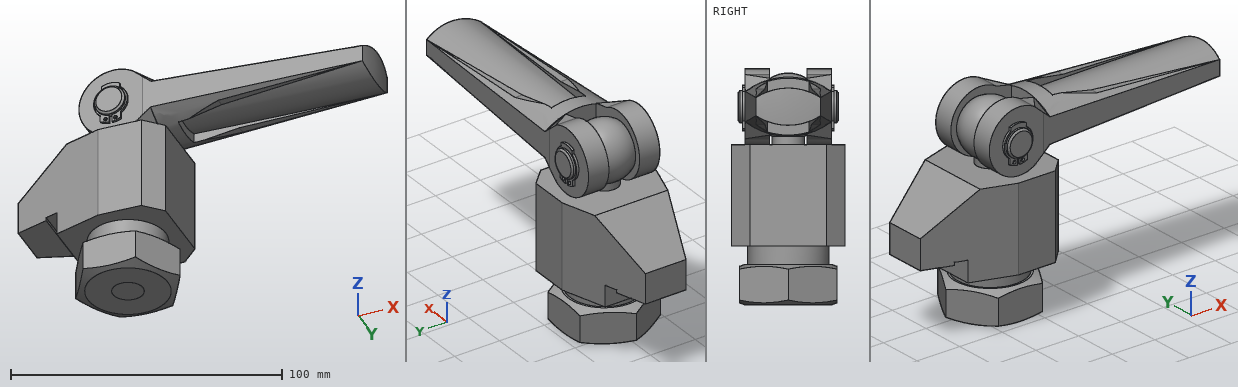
import cadquery as cq
import math


pin_radius = 6.0
stem_radius = 6.0

jaw_front = -40.0
jaw_back = 20.8
jaw_top = -14.0
jaw_bottom = -51.3
jaw_half_width = 21.0
nose_half_width = 9.1
nose_flare_end = -3.2
back_chamfer = 6.8
slope_start = -17.6
nose_top = -30.3
nose_bottom = -43.3
relief_front = -27.1
relief_depth = 1.3
step_front = -22.2

collar_radius = 15.1
hex_across_flats = 36.0
hex_top = -58.0
hex_bottom = -73.0
hex_face_radius = 16.0
hex_chamfer_angle = 20.0

ball_radius = 12.5

cheek_radius = 14.0
eccentricity = 1.0
cheek_half_width = 16.0
fork_half_gap = 6.8
ramp_start = 8.4
ramp_end_height = 10.3
taper_start = 12.5
neck_start = 15.5
neck_end = 23.2
neck_edge_height = 5.6
neck_crown_height = 10.9
flank_end_crown_height = 6.2
ridge_half_width = 7.5
shoulder_start_height = 9.8
shoulder_knee = 40.8
shoulder_knee_height = 6.5
grip_edge_end = 98.4
grip_end = 99.8
grip_end_half_width = 11.9
grip_end_edge_height = 3.4
grip_crown_height = 6.8

pin_half_length = 18.5
pin_chamfer_length = 0.7
pin_chamfer_depth = 0.8
ring_thickness = 1.0
ring_radius = 6.7
back_lug_radius = 8.0
back_lug_half_width = 3.6
ear_radius = 9.0
ear_half_width = 4.0
ear_half_gap = 0.63
ear_hole_radius = 0.7
ear_hole_x = 2.0
ear_hole_z = -7.4


def y_prism(profile, half_width):
    """Extrude a closed XZ profile evenly to both sides of Y = 0."""
    return profile.extrude(half_width, both=True)


def y_cylinder(radius, half_length):
    return y_prism(cq.Workplane("XZ").circle(radius), half_length)


def z_cylinder(radius, bottom, top):
    return cq.Workplane("XY").workplane(offset=bottom).circle(radius).extrude(top - bottom)


def mirrored_outline(upper_points):
    """Add to the points their mirror images across the first axis, in reverse order."""
    return upper_points + [(a, -b) for a, b in reversed(upper_points)]


def make_jaw():
    side = cq.Workplane("XZ").polyline([
        (jaw_front, nose_top),
        (slope_start, jaw_top),
        (jaw_back, jaw_top),
        (jaw_back, jaw_bottom),
        (step_front, jaw_bottom),
        (step_front, nose_bottom + relief_depth),
        (relief_front, nose_bottom + relief_depth),
        (relief_front, nose_bottom),
        (jaw_front, nose_bottom),
    ]).close()
    plan = cq.Workplane("XY").workplane(offset=jaw_bottom).polyline(mirrored_outline([
        (jaw_front, nose_half_width),
        (nose_flare_end, jaw_half_width),
        (jaw_back - back_chamfer, jaw_half_width),
        (jaw_back, jaw_half_width - back_chamfer),
    ])).close().extrude(jaw_top - jaw_bottom)
    stem_hole = z_cylinder(stem_radius, jaw_bottom, jaw_top)
    return y_prism(side, jaw_half_width).intersect(plan).cut(stem_hole)


def make_nut():
    corner_diameter = hex_across_flats / math.cos(math.pi / 6)
    hexagon = (
        cq.Workplane("XY").workplane(offset=hex_bottom)
        .polygon(6, corner_diameter).extrude(hex_top - hex_bottom)
    )
    corner_radius = corner_diameter / 2
    chamfer_height = (corner_radius - hex_face_radius) * math.tan(math.radians(hex_chamfer_angle))
    chamfered_blank = cq.Workplane("XZ").polyline([
        (0, hex_bottom),
        (hex_face_radius, hex_bottom),
        (corner_radius, hex_bottom + chamfer_height),
        (corner_radius, hex_top - chamfer_height),
        (hex_face_radius, hex_top),
        (0, hex_top),
    ]).close().revolve(360, (0, 0, 0), (0, 1, 0))
    collar = z_cylinder(collar_radius, hex_top, jaw_bottom)
    stem_hole = z_cylinder(stem_radius, hex_bottom, jaw_bottom)
    return hexagon.intersect(chamfered_blank).union(collar).cut(stem_hole)


def make_eyebolt():
    face_radius = math.sqrt(ball_radius**2 - fork_half_gap**2)
    ball = (
        cq.Workplane("XY")
        .moveTo(0, -fork_half_gap)
        .lineTo(face_radius, -fork_half_gap)
        .threePointArc((ball_radius, 0), (face_radius, fork_half_gap))
        .lineTo(0, fork_half_gap)
        .close()
        .revolve(360, (0, 0, 0), (0, 1, 0))
    )
    stem = z_cylinder(stem_radius, hex_bottom, 0)
    return ball.union(stem).cut(y_cylinder(pin_radius, fork_half_gap))


def both_sides(body):
    """Join a body to its mirror image across Y = 0."""
    return body.union(body.mirror("XZ"))


def crowned_section(x, half_width, edge_height, crown_height):
    """Outline at x whose upper and lower sides are arcs across Y."""
    return (
        cq.Workplane("YZ").workplane(offset=x)
        .moveTo(-half_width, edge_height)
        .threePointArc((0, crown_height), (half_width, edge_height))
        .lineTo(half_width, -edge_height)
        .threePointArc((0, -crown_height), (-half_width, -edge_height))
        .close()
    )


def half_width_at(x, start, end):
    """Half width at x on the straight plan line through two (x, half width) points."""
    return start[1] + (end[1] - start[1]) * (x - start[0]) / (end[0] - start[0])


grip_corner = (grip_edge_end, grip_end_half_width)
neck_half_width = half_width_at(neck_start, (taper_start, cheek_half_width), grip_corner)
neck_crown_radius = (
    (neck_half_width**2 + (neck_crown_height - neck_edge_height)**2)
    / (2 * (neck_crown_height - neck_edge_height))
)
neck_crown_centre = neck_crown_height - neck_crown_radius


def neck_height(y):
    return neck_crown_centre + math.sqrt(neck_crown_radius**2 - y**2)


def make_cheeks():
    """Round cheeks with a ramp to the neck, bevelled toward the sides of the neck."""
    ramp_start_height = math.sqrt(cheek_radius**2 - (ramp_start - eccentricity)**2)
    profile = (
        cq.Workplane("XZ")
        .moveTo(ramp_start, ramp_start_height)
        .threePointArc((eccentricity - cheek_radius, 0), (ramp_start, -ramp_start_height))
        .lineTo(neck_start, -ramp_end_height)
        .lineTo(neck_start, ramp_end_height)
        .close()
    )
    cheeks = y_prism(profile, cheek_half_width)
    round_end = cq.Vector(ramp_start, cheek_half_width, ramp_start_height)
    neck_edge = cq.Vector(neck_start, cheek_half_width, neck_edge_height)
    fork_edge = cq.Vector(neck_start, fork_half_gap, neck_height(fork_half_gap))
    bevel_plane = cq.Plane(
        origin=round_end.toTuple(),
        xDir=(neck_edge - round_end).toTuple(),
        normal=(fork_edge - round_end).cross(neck_edge - round_end).toTuple(),
    )
    bevel_size = 2 * cheek_half_width
    outside = cq.Workplane(bevel_plane).rect(bevel_size, bevel_size).extrude(bevel_size)
    ramp_zone = (
        cq.Workplane("XY")
        .box(neck_start - ramp_start, cheek_half_width - fork_half_gap, cheek_radius, centered=False)
        .translate((ramp_start, fork_half_gap, 0))
    )
    bevel = both_sides(outside.intersect(ramp_zone))
    return cheeks.cut(bevel).cut(bevel.mirror("XY"))


def make_grip_plan():
    """Prism over the plan of the grip, which widens from the neck to the end."""
    return cq.Workplane("XY").polyline(mirrored_outline([
        (neck_end, ridge_half_width),
        grip_corner,
        (grip_end, grip_end_half_width),
    ])).close().extrude(cheek_radius, both=True)


def make_neck():
    """Crowned neck tapering into flanks beside the grip, their tops cut along two slopes."""
    start = crowned_section(neck_start, neck_half_width, neck_edge_height, neck_crown_height)
    end = crowned_section(grip_edge_end, grip_end_half_width, grip_end_edge_height, flank_end_crown_height)
    body = cq.Workplane(obj=cq.Solid.makeLoft([start.val(), end.val()], True))
    top_limit = cq.Workplane("XZ").polyline(mirrored_outline([
        (neck_start, neck_crown_height),
        (neck_end, neck_crown_height),
        (neck_end, shoulder_start_height),
        (shoulder_knee, shoulder_knee_height),
        (grip_edge_end, grip_end_edge_height),
    ])).close()
    return body.intersect(y_prism(top_limit, cheek_half_width)).cut(make_grip_plan())


def make_grip():
    """Crowned grip that widens toward a spherical end."""
    section = crowned_section(neck_end, grip_end_half_width, grip_end_edge_height, grip_crown_height)
    bar = section.extrude(grip_end - neck_end)
    end_bulge = grip_end - grip_edge_end
    end_radius = (grip_end_half_width**2 + end_bulge**2) / (2 * end_bulge)
    end_ball = cq.Workplane("XY").sphere(end_radius).translate((grip_end - end_radius, 0, 0))
    return bar.intersect(make_grip_plan()).intersect(end_ball)


def make_lever():
    taper = cq.Workplane("XY").polyline(mirrored_outline([
        (eccentricity - cheek_radius, cheek_half_width),
        (taper_start, cheek_half_width),
        (neck_start, neck_half_width),
    ])).close().extrude(cheek_radius, both=True)
    fork_gap = cq.Workplane("XY").box(
        2 * neck_start, 2 * fork_half_gap, 2 * cheek_radius
    )
    fork = make_cheeks().intersect(taper).cut(fork_gap)
    lever = fork.union(make_neck()).union(make_grip())
    return lever.cut(y_cylinder(pin_radius, cheek_half_width))


def make_ring():
    """Retaining ring on the +Y end of the pin, with a back lug above and two ears below."""
    face = cq.Workplane("XZ", origin=(0, cheek_half_width, 0))
    top = max(back_lug_radius, ear_radius)

    def disc(radius):
        return face.circle(radius).extrude(-ring_thickness)

    def strip(half_width, start, end):
        return face.center(0, (start + end) / 2).rect(2 * half_width, end - start).extrude(-ring_thickness)

    back_lug = disc(back_lug_radius).intersect(strip(back_lug_half_width, 0, top))
    ears = disc(ear_radius).intersect(strip(ear_half_width, -top, 0))
    ear_holes = (
        face.pushPoints([(-ear_hole_x, ear_hole_z), (ear_hole_x, ear_hole_z)])
        .circle(ear_hole_radius).extrude(-ring_thickness)
    )
    ear_gap = strip(ear_half_gap, -top, 0)
    return disc(ring_radius).union(back_lug).union(ears).cut(ear_gap).cut(ear_holes)


def make_pin():
    pin = cq.Workplane("XY").polyline([
        (0, -pin_half_length),
        (pin_radius - pin_chamfer_depth, -pin_half_length),
        (pin_radius, -pin_half_length + pin_chamfer_length),
        (pin_radius, pin_half_length - pin_chamfer_length),
        (pin_radius - pin_chamfer_depth, pin_half_length),
        (0, pin_half_length),
    ]).close().revolve(360, (0, 0, 0), (0, 1, 0))
    ring = make_ring()
    return pin.union(ring).union(ring.mirror("XZ"))


jaw = make_jaw()
nut = make_nut()
eyebolt = make_eyebolt()
lever = make_lever()
pin = make_pin()

result = cq.Compound.makeCompound([jaw.val(), nut.val(), eyebolt.val(), lever.val(), pin.val()])